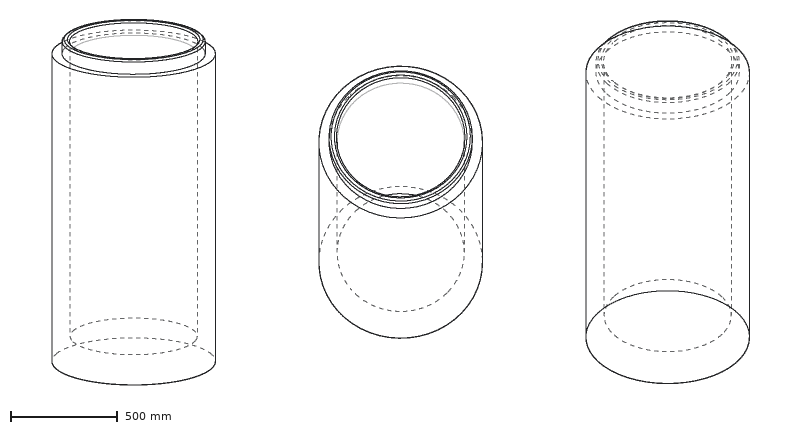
import cadquery as cq

height = 1574.0
body_diameter = 767.0
spigot_radius = 335.0
spigot_height = 70.0
rim_chamfer = 10.0
bore_radius = 297.0
mouth_radius = 300.0
mouth_depth = 70.0
floor_thickness = 123.0


def cylinder(radius, length, base_z):
    return cq.Workplane("XY").workplane(offset=base_z).circle(radius).extrude(length)


body_height = height - spigot_height
body = cylinder(body_diameter / 2, body_height, 0)
spigot = cylinder(spigot_radius, spigot_height, body_height).faces(">Z").chamfer(rim_chamfer)

bore_profile = (
    cq.Workplane("XZ")
    .moveTo(0, floor_thickness)
    .lineTo(bore_radius, floor_thickness)
    .lineTo(bore_radius, height - mouth_depth)
    .lineTo(mouth_radius, height - rim_chamfer)
    .lineTo(mouth_radius + rim_chamfer, height)
    .lineTo(0, height)
    .close()
)
bore = bore_profile.revolve(360, (0, 0, 0), (0, 1, 0))

result = body.union(spigot).cut(bore)